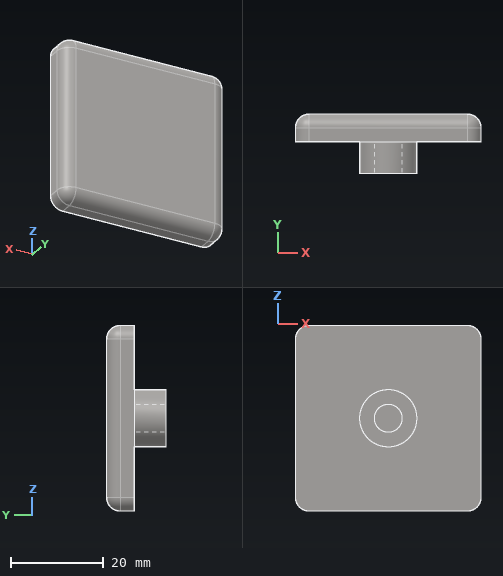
import cadquery as cq

plate_side = 40.0
plate_thickness = 6.0
edge_radius = 3.0

total_depth = 12.8
boss_diameter = 12.3
boss_height = total_depth - plate_thickness

hole_diameter = 6.0
hole_depth = boss_height


def make_plate():
    """Plate with rounded corners and a fully rounded rim on its +Y face."""
    plate = cq.Workplane("XZ").rect(plate_side, plate_side).extrude(-plate_thickness)
    plate = plate.edges("|Y").fillet(edge_radius)
    return plate.faces(">Y").edges().fillet(edge_radius)


def make_boss():
    """Cylinder from the flat face toward -Y."""
    return cq.Workplane("XZ").circle(boss_diameter / 2).extrude(boss_height)


def make_hole():
    """Cutter for the blind hole, entering from the free end of the boss."""
    return (
        cq.Workplane("XZ", origin=(0, -boss_height, 0))
        .circle(hole_diameter / 2)
        .extrude(-hole_depth)
    )


result = make_plate().union(make_boss()).cut(make_hole())